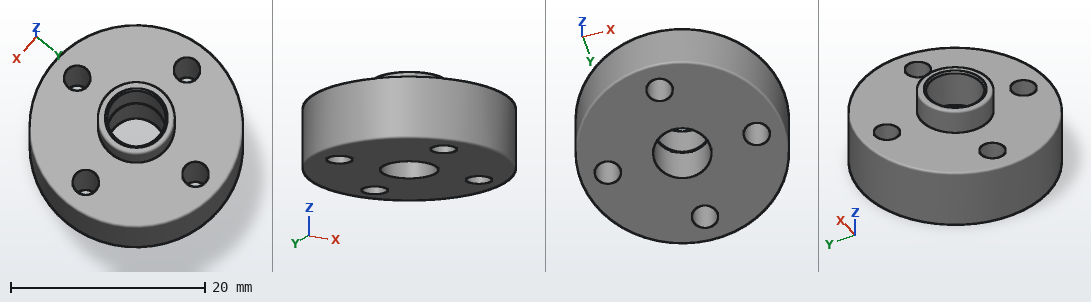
import cadquery as cq

disc_diameter = 22.0
disc_height = 6.7
disc_edge_radius = 0.25

overall_height = 9.4
sleeve_diameter = 7.92
sleeve_edge_radius = 0.25
seat_floor_height = 5.17
seat_depth = disc_height - seat_floor_height
sleeve_height = overall_height - seat_floor_height

bore_diameter = 6.0
bore_chamfer_width = 0.22
bore_chamfer_depth = 0.2

bolt_hole_count = 4
bolt_hole_diameter = 2.7
bolt_circle_radius = 8.0


def cylinder(diameter, height, base_height=0.0):
    """Upright cylinder on the Z axis."""
    return cq.Workplane("XY", origin=(0, 0, base_height)).circle(diameter / 2).extrude(height)


def make_bore_cutter(base_height, top_height):
    """Bore with a conical widening just below its top end."""
    bore_radius = bore_diameter / 2
    return (
        cq.Workplane("XZ")
        .moveTo(0, base_height)
        .lineTo(bore_radius, base_height)
        .lineTo(bore_radius, top_height - bore_chamfer_depth)
        .lineTo(bore_radius + bore_chamfer_width, top_height)
        .lineTo(0, top_height)
        .close()
        .revolve(360, (0, 0, 0), (0, 1, 0))
    )


def make_disc():
    """Disc with rounded rims, a sleeve seat, a chamfered bore and a ring of through holes."""
    disc = cylinder(disc_diameter, disc_height).edges("%CIRCLE").fillet(disc_edge_radius)
    seat = cylinder(sleeve_diameter, seat_depth, seat_floor_height)
    bore = make_bore_cutter(0, seat_floor_height)
    bolt_holes = (
        cq.Workplane("XY")
        .polarArray(bolt_circle_radius, 0, 360, bolt_hole_count)
        .circle(bolt_hole_diameter / 2)
        .extrude(disc_height)
    )
    return disc.cut(seat).cut(bore).cut(bolt_holes)


def make_sleeve():
    """Tube standing on the seat floor, with a rounded top rim and a chamfered bore."""
    sleeve = cylinder(sleeve_diameter, sleeve_height, seat_floor_height)
    sleeve = sleeve.faces(">Z").edges().fillet(sleeve_edge_radius)
    return sleeve.cut(make_bore_cutter(seat_floor_height, overall_height))


disc = make_disc()
sleeve = make_sleeve()

result = cq.Compound.makeCompound([disc.val(), sleeve.val()])